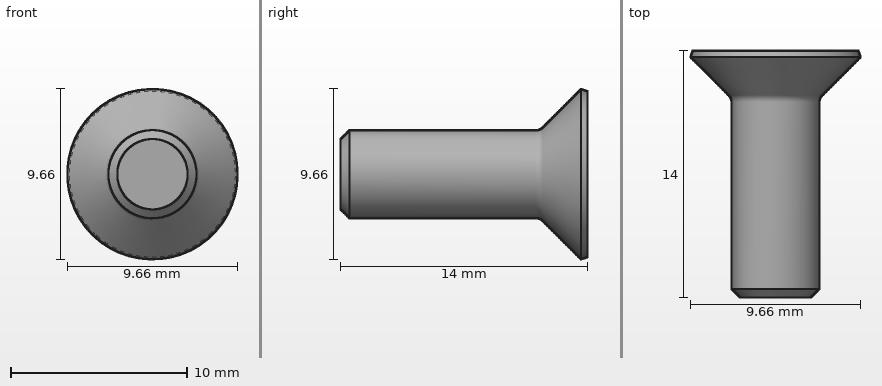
import cadquery as cq
import math

length = 14.0
shank_radius = 5.0 / 2
head_radius = 9.66 / 2
rim_height = 0.36
rim_inset = 0.13
tip_chamfer = 0.5
neck_fillet = 0.5
cone_angle = math.radians(45)

fillet_rise = neck_fillet * math.sin(cone_angle)
fillet_radius_gain = neck_fillet * (1 - math.cos(cone_angle))
neck_radius = shank_radius + fillet_radius_gain
cone_height = (head_radius - neck_radius) / math.tan(cone_angle)
neck_y = -rim_height - cone_height

mid_angle = cone_angle / 2
fillet_mid = (
    shank_radius + neck_fillet * (1 - math.cos(mid_angle)),
    neck_y - fillet_rise + neck_fillet * math.sin(mid_angle),
)

profile = (
    cq.Workplane("XY")
    .moveTo(0, 0)
    .lineTo(head_radius - rim_inset, 0)
    .lineTo(head_radius, -rim_height)
    .lineTo(neck_radius, neck_y)
    .threePointArc(fillet_mid, (shank_radius, neck_y - fillet_rise))
    .lineTo(shank_radius, -length + tip_chamfer)
    .lineTo(shank_radius - tip_chamfer, -length)
    .lineTo(0, -length)
    .close()
)

result = profile.revolve(360, (0, 0, 0), (0, 1, 0))